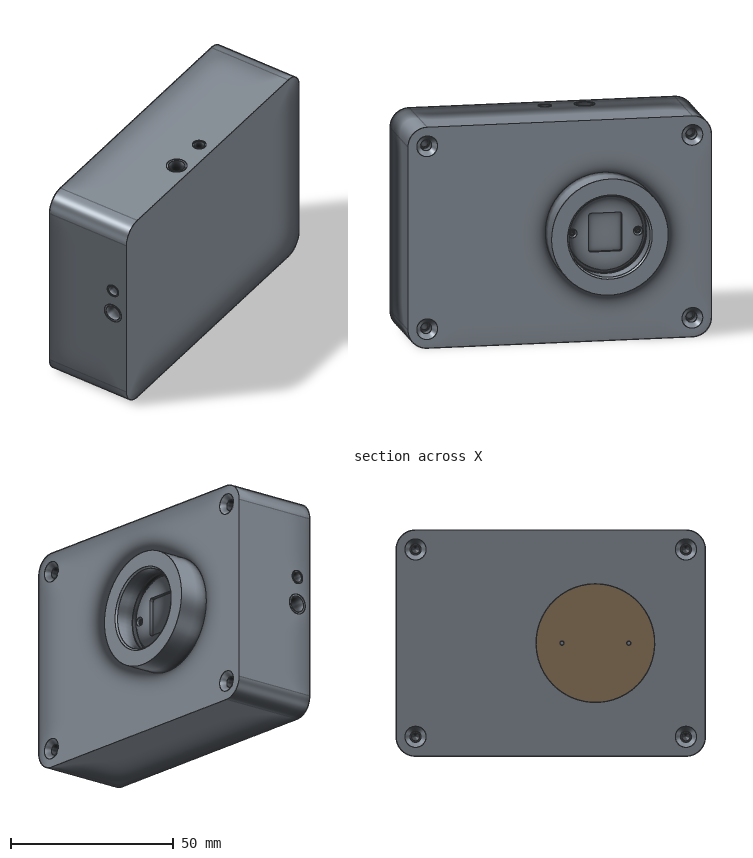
import cadquery as cq
import math

body_depth = 28.5
body_width = 95.0
body_height = 69.5
corner_radius = 6.0

mount_y = -13.7
mount_diameter = 36.5
mount_length = 10.0
bore_diameter = 25.4
bore_depth = 6.6
bore_mouth_diameter = 26.5
relief_diameter = 25.8
relief_depth = 1.9

seat_diameter = 23.8
seat_height = 1.2

window_width = 10.4
window_height = 12.2
window_depth = 1.25
window_corner_radius = 0.8
pin_spacing = 20.5
pin_head_diameter = 2.8
pin_clearance_diameter = 1.7
pin_clearance_depth = 1.0
pin_hole_diameter = 1.2
pin_hole_depth = 3.0

screw_inset = 6.0
screw_head_diameter = 6.5
screw_clearance_diameter = 3.4
screw_clearance_depth = 5.0
screw_core_diameter = 2.5
screw_depth = 12.0

thread_recess_depth = 0.1
thread_inset = 5.0
large_thread_diameter = 6.35
large_core_diameter = 5.1
large_core_depth = 8.0
small_thread_diameter = 4.2
small_core_diameter = 3.3
small_core_depth = 8.0
side_small_z = 8.75
top_large_y = -12.4
top_small_y = 0.0

drill_point_angle = 118.0

mount_face_x = -mount_length
bore_end_x = mount_face_x + bore_depth
relief_floor_x = bore_end_x + relief_depth
seat_x = relief_floor_x - seat_height
thread_x = body_depth - thread_inset

INTO_FRONT = cq.Vector(1, 0, 0)
INTO_SIDE = cq.Vector(0, 1, 0)
INTO_TOP = cq.Vector(0, 0, -1)


def drill(diameter, depth, start, direction):
    """Cylinder of the given depth, ending in a drill point."""
    radius = diameter / 2
    point_length = radius / math.tan(math.radians(drill_point_angle / 2))
    shank = cq.Solid.makeCylinder(radius, depth, start, direction)
    point = cq.Solid.makeCone(radius, 0, point_length, start + direction * depth, direction)
    return cq.Workplane(shank.fuse(point))


def bore(diameter, depth, start, direction):
    """Flat-bottomed cylinder."""
    return cq.Workplane(cq.Solid.makeCylinder(diameter / 2, depth, start, direction))


def countersink(outer_diameter, inner_diameter, start, direction):
    """90 degree cone narrowing from the outer to the inner diameter."""
    depth = (outer_diameter - inner_diameter) / 2
    cone = cq.Solid.makeCone(outer_diameter / 2, inner_diameter / 2, depth, start, direction)
    return cq.Workplane(cone)


def housing():
    block = cq.Workplane("XY").box(body_depth, body_width, body_height, centered=(False, True, True))
    block = block.edges("|X").fillet(corner_radius)
    return block.union(bore(mount_diameter, mount_length, cq.Vector(mount_face_x, mount_y, 0), INTO_FRONT))


def mount_opening():
    mouth = cq.Vector(mount_face_x, mount_y, 0)
    relief = cq.Vector(bore_end_x, mount_y, 0)
    seat = cq.Vector(seat_x, mount_y, 0)
    opening = bore(bore_diameter, bore_depth, mouth, INTO_FRONT)
    opening = opening.union(countersink(bore_mouth_diameter, bore_diameter, mouth, INTO_FRONT))
    opening = opening.union(bore(relief_diameter, relief_depth, relief, INTO_FRONT))
    return opening.cut(bore(seat_diameter, seat_height, seat, INTO_FRONT))


def sensor_window():
    window = cq.Workplane("XY").box(window_depth, window_width, window_height, centered=(False, True, True))
    window = window.edges("|X").fillet(window_corner_radius)
    return window.translate((seat_x, mount_y, 0))


def pin_hole(side):
    start = cq.Vector(seat_x, mount_y + side * pin_spacing / 2, 0)
    hole = bore(pin_hole_diameter, pin_hole_depth, start, INTO_FRONT)
    hole = hole.union(bore(pin_clearance_diameter, pin_clearance_depth, start, INTO_FRONT))
    return hole.union(countersink(pin_head_diameter, pin_clearance_diameter, start, INTO_FRONT))


def corner_screw(side_y, side_z):
    y = side_y * (body_width / 2 - screw_inset)
    z = side_z * (body_height / 2 - screw_inset)
    start = cq.Vector(0, y, z)
    hole = drill(screw_core_diameter, screw_depth, start, INTO_FRONT)
    hole = hole.union(bore(screw_clearance_diameter, screw_clearance_depth, start, INTO_FRONT))
    return hole.union(countersink(screw_head_diameter, screw_clearance_diameter, start, INTO_FRONT))


def threaded_hole(thread_diameter, core_diameter, core_depth, start, direction):
    recess = bore(thread_diameter, thread_recess_depth, start, direction)
    return recess.union(drill(core_diameter, core_depth, start, direction))


def large_thread(start, direction):
    return threaded_hole(large_thread_diameter, large_core_diameter, large_core_depth, start, direction)


def small_thread(start, direction):
    return threaded_hole(small_thread_diameter, small_core_diameter, small_core_depth, start, direction)


result = housing().cut(mount_opening()).cut(sensor_window())

for side in (-1, 1):
    result = result.cut(pin_hole(side))

for side_y in (-1, 1):
    for side_z in (-1, 1):
        result = result.cut(corner_screw(side_y, side_z))

side_face_y = -body_width / 2
top_face_z = body_height / 2
result = result.cut(large_thread(cq.Vector(thread_x, side_face_y, 0), INTO_SIDE))
result = result.cut(small_thread(cq.Vector(thread_x, side_face_y, side_small_z), INTO_SIDE))
result = result.cut(large_thread(cq.Vector(thread_x, top_large_y, top_face_z), INTO_TOP))
result = result.cut(small_thread(cq.Vector(thread_x, top_small_y, top_face_z), INTO_TOP))